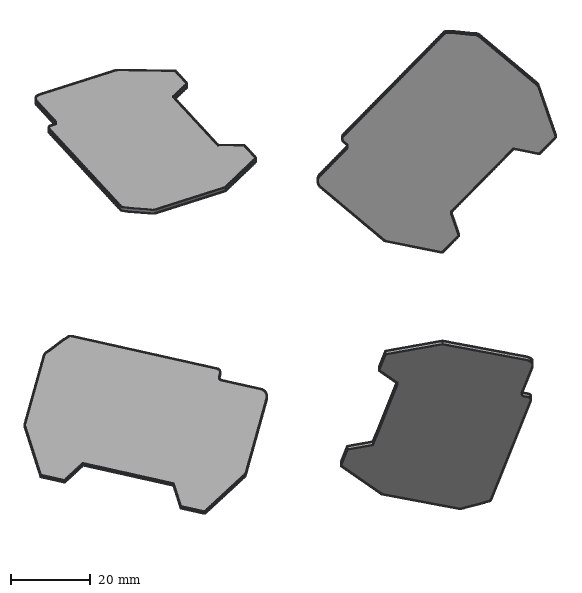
import cadquery as cq
import math

width = 57.1
depth = 39.65
thickness = 1.2

flank_angle = math.radians(60)
shoulder_drop = 12.75
notch_depth = 5.75
notch_half_width = 11.7

step_width = 13.0
step_height = 2.9
step_inner_radius = 0.9
step_outer_radius = 1.1
corner_radius = 2.1

toe_inset = 5.45
toe_radius = 1.05
toe_turn = math.radians(60)
hollow_radius = 2.8
hollow_turn = math.radians(23)
heel_radius = 2.0
heel_turn = math.radians(52)
heel_top_height = 7.15

right = width / 2
left = -right
back = depth / 2
front = -back

shoulder_y = back - shoulder_drop
notch_y = back - notch_depth
foot_outer_x = right - shoulder_drop / math.tan(flank_angle)
foot_inner_x = notch_half_width + notch_depth / math.tan(flank_angle)
step_x = left + step_width
step_y = front + step_height
toe_x = right - toe_inset
heel_top_y = front + heel_top_height


def arc_point(center, radius, angle):
    """Point on a circle, with the angle measured counterclockwise from +X."""
    return (center[0] + radius * math.cos(angle), center[1] + radius * math.sin(angle))


def draw_arc(path, center, radius, start, turn):
    """Continue the path along an arc that begins at the start angle."""
    middle = arc_point(center, radius, start + turn / 2)
    end = arc_point(center, radius, start + turn)
    return path.threePointArc(middle, end)


def draw_sloping_corner(path):
    """Continue the path from the front edge around to the +X side."""
    toe_center = (toe_x, front + toe_radius)
    toe_start = -math.pi / 2
    toe_end = toe_start + toe_turn
    hollow_center = arc_point(toe_center, toe_radius + hollow_radius, toe_end)
    heel_center = (right - heel_radius, heel_top_y)

    path = path.lineTo(toe_x, front)
    path = draw_arc(path, toe_center, toe_radius, toe_start, toe_turn)
    path = draw_arc(path, hollow_center, hollow_radius, toe_end + math.pi, -hollow_turn)
    path = path.lineTo(*arc_point(heel_center, heel_radius, -heel_turn))
    return draw_arc(path, heel_center, heel_radius, -heel_turn, heel_turn)


def make_blank():
    """Flat plate whose corner step is not yet rounded."""
    path = cq.Workplane("XY").workplane(offset=-thickness / 2)
    path = path.moveTo(left, step_y).lineTo(step_x, step_y).lineTo(step_x, front)
    path = draw_sloping_corner(path)
    back_edge = [
        (right, shoulder_y),
        (foot_outer_x, back),
        (foot_inner_x, back),
        (notch_half_width, notch_y),
        (-notch_half_width, notch_y),
        (-foot_inner_x, back),
        (-foot_outer_x, back),
        (left, shoulder_y),
    ]
    for x, y in back_edge:
        path = path.lineTo(x, y)
    return path.close().extrude(thickness)


def round_corner(plate, corner, radius):
    """Round the upright edge that stands at the given outline corner."""
    x, y = corner
    edge = plate.edges("|Z").edges(cq.selectors.NearestToPointSelector((x, y, 0)))
    return edge.fillet(radius)


rounded_corners = [
    ((left, step_y), corner_radius),
    ((step_x, step_y), step_inner_radius),
    ((step_x, front), step_outer_radius),
]

result = make_blank()
for corner, radius in rounded_corners:
    result = round_corner(result, corner, radius)